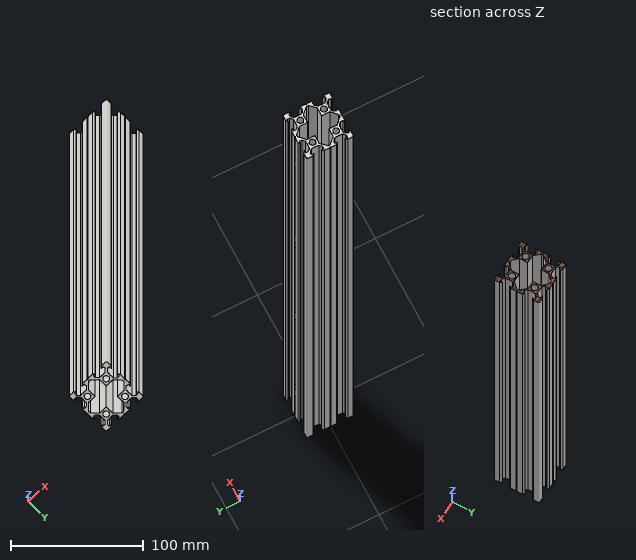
import cadquery as cq

length = 580.0
side = 40.0
half_side = side / 2
module_half = side / 4
corner_radius = 1.0

hole_diameter = 5.0
core_outer = 4.35
core_inner = 4.0
outer_rib_offset = 1.2

mouth_half = 4.9
neck_half = 3.2
undercut_half = 5.0
v_depth = 1.0
lip = 1.45

floor_groove_half = 1.45
floor_groove_depth = 0.2
side_groove_half = 0.5
side_groove_depth = 0.5

wall = 2.2
tip_half = 0.85
inner_rib_offset = 1.05


def prism(outline):
    """Full-length solid with the given closed outline."""
    return cq.Workplane("XY").polyline(outline).close().extrude(length)


def slot_cutter():
    """Slot in the +Y face of a module centred on the origin."""
    lip_y = module_half - lip
    right_side = [
        (mouth_half, module_half),
        (neck_half, module_half - v_depth),
        (neck_half, lip_y),
        (undercut_half, lip_y),
        (undercut_half, undercut_half + outer_rib_offset),
        (core_outer - outer_rib_offset, core_outer),
        (floor_groove_half, core_outer),
    ]
    groove_bottom = (0, core_outer - floor_groove_depth)
    left_side = [(-x, y) for x, y in reversed(right_side)]
    return prism(right_side + [groove_bottom] + left_side)


def side_groove_cutter():
    """V groove along the middle of the +Y side."""
    return prism([
        (-side_groove_half, half_side),
        (side_groove_half, half_side),
        (0, half_side - side_groove_depth),
    ])


def cavity_cutter():
    """Cross-shaped cavity whose four arms taper towards the outer walls."""
    near = module_half - core_inner
    shoulder = module_half + core_inner - inner_rib_offset
    tip = half_side - wall
    arm = [(-near, near), (-near, shoulder), (-tip_half, tip), (tip_half, tip), (near, shoulder)]
    outline = []
    for _ in range(4):
        outline += arm
        arm = [(y, -x) for x, y in arm]
    return prism(outline)


result = cq.Workplane("XY").rect(side, side).extrude(length)
result = result.edges("|Z").fillet(corner_radius)

slot = slot_cutter()
side_cutters = [slot.translate((x, module_half, 0)) for x in (-module_half, module_half)]
side_cutters.append(side_groove_cutter())
for turn in range(4):
    for cutter in side_cutters:
        result = result.cut(cutter.rotate((0, 0, 0), (0, 0, 1), 90 * turn))

result = result.cut(cavity_cutter())

holes = (
    cq.Workplane("XY")
    .rect(2 * module_half, 2 * module_half, forConstruction=True)
    .vertices()
    .circle(hole_diameter / 2)
    .extrude(length)
)
result = result.cut(holes)